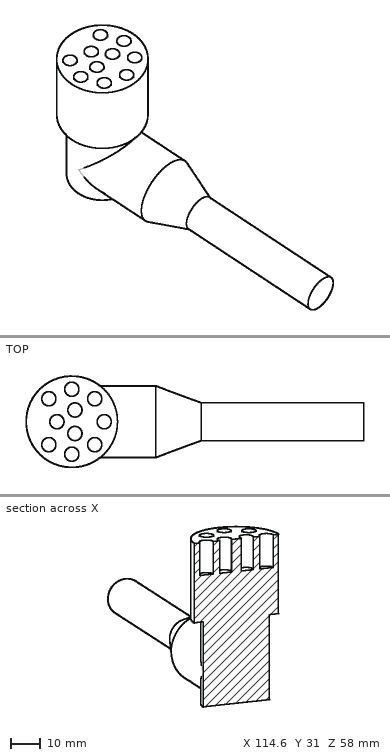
import cadquery as cq
import math

head_diameter = 31.0
stem_diameter = 24.4
total_height = 58.0
stem_height = 29.9
head_height = total_height - stem_height

total_length = 114.6
cable_diameter = 13.0
barrel_end = 28.5
taper_length = 15.4
arm_height = stem_diameter / 2
taper_end = barrel_end + taper_length
cable_end = total_length - head_diameter / 2

socket_diameter = 4.8
socket_depth = 11.5
ring_radius = 11.0
outer_count = 8
outer_pitch = 360 / outer_count
empty_place = outer_count // 2
inner_radius = 4.1
inner_angles = (-75, 75)
left_socket_x = -5.0


def polar_point(radius, angle):
    turn = math.radians(angle)
    return (radius * math.cos(turn), radius * math.sin(turn))


def make_upright():
    stem = cq.Workplane("XY").circle(stem_diameter / 2).extrude(stem_height)
    head = cq.Workplane("XY").workplane(offset=stem_height).circle(head_diameter / 2).extrude(head_height)
    return stem.union(head)


def make_arm():
    half_profile = (
        cq.Workplane("XZ")
        .moveTo(0, arm_height)
        .lineTo(0, arm_height + stem_diameter / 2)
        .lineTo(barrel_end, arm_height + stem_diameter / 2)
        .lineTo(taper_end, arm_height + cable_diameter / 2)
        .lineTo(cable_end, arm_height + cable_diameter / 2)
        .lineTo(cable_end, arm_height)
        .close()
    )
    return half_profile.revolve(360, (0, arm_height), (1, arm_height))


def make_sockets():
    places = [place for place in range(outer_count) if place != empty_place]
    ring = [polar_point(ring_radius, place * outer_pitch) for place in places]
    inner = [polar_point(inner_radius, angle) for angle in inner_angles]
    return (
        cq.Workplane("XY")
        .workplane(offset=total_height - socket_depth)
        .pushPoints(ring + inner + [(left_socket_x, 0)])
        .circle(socket_diameter / 2)
        .extrude(socket_depth)
    )


result = make_upright().union(make_arm()).cut(make_sockets())